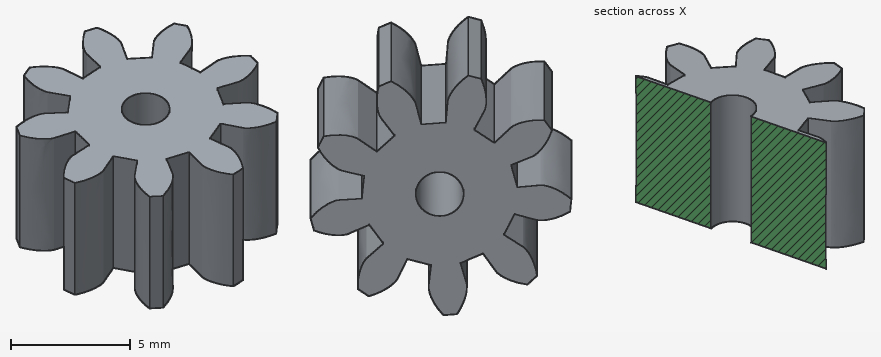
import cadquery as cq
import math

TEETH = 9
PRESSURE_ANGLE = math.radians(20)
OVERALL_Y = 10.92
THICKNESS = 6.25
BORE_DIAMETER = 2.0
ADDENDUM = 1.0
ROOT_CLEARANCE = 0.25
FLANK_STEPS = 6


def involute(angle):
    """Involute function: polar angle swept by the curve at a given pressure angle."""
    return math.tan(angle) - angle


tooth_pitch = 2 * math.pi / TEETH
base_half_angle = tooth_pitch / 4 + involute(PRESSURE_ANGLE)
tip_pressure_angle = math.acos(TEETH * math.cos(PRESSURE_ANGLE) / (TEETH + 2 * ADDENDUM))
tip_half_angle = base_half_angle - involute(tip_pressure_angle)

highest_tooth_angle = math.floor(TEETH / 4) * tooth_pitch
tip_radius = OVERALL_Y / 2 / math.sin(highest_tooth_angle + tip_half_angle)
module = 2 * tip_radius / (TEETH + 2 * ADDENDUM)
pitch_radius = module * TEETH / 2
base_radius = pitch_radius * math.cos(PRESSURE_ANGLE)
root_radius = pitch_radius - (ADDENDUM + ROOT_CLEARANCE) * module


def polar(radius, angle):
    return (radius * math.cos(angle), radius * math.sin(angle))


def flank_points(tooth_angle, side):
    """Involute points from base to tip; side is -1 or +1 for the two flanks of a tooth."""
    points = []
    for step in range(FLANK_STEPS + 1):
        roll = math.tan(tip_pressure_angle) * step / FLANK_STEPS
        local_pressure_angle = math.atan(roll)
        radius = base_radius / math.cos(local_pressure_angle)
        half_angle = base_half_angle - involute(local_pressure_angle)
        points.append(polar(radius, tooth_angle + side * half_angle))
    return points


def gear_outline():
    """Closed outline: radial lower flanks, involute upper flanks, straight tips and roots."""
    outline = cq.Workplane("XY").moveTo(*polar(root_radius, -base_half_angle))
    for tooth in range(TEETH):
        tooth_angle = tooth * tooth_pitch
        rising = flank_points(tooth_angle, -1)
        falling = flank_points(tooth_angle, 1)[::-1]
        outline = (
            outline.lineTo(*rising[0])
            .spline(rising[1:], includeCurrent=True)
            .lineTo(*falling[0])
            .spline(falling[1:], includeCurrent=True)
            .lineTo(*polar(root_radius, tooth_angle + base_half_angle))
        )
        if tooth < TEETH - 1:
            outline = outline.lineTo(*polar(root_radius, tooth_angle + tooth_pitch - base_half_angle))
    return outline.close()


gear = gear_outline().extrude(THICKNESS)
bore = cq.Workplane("XY").circle(BORE_DIAMETER / 2).extrude(THICKNESS)
result = gear.cut(bore)